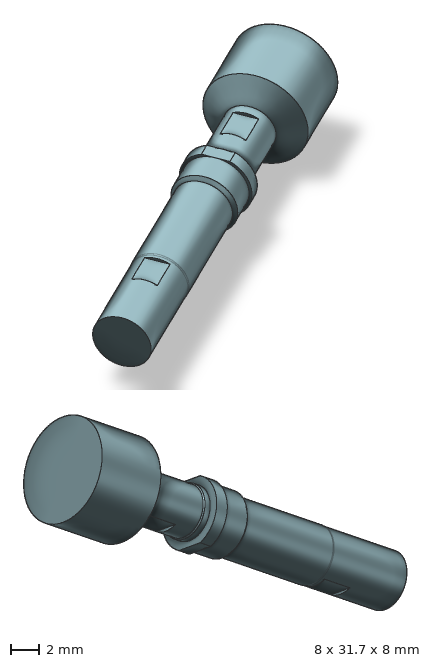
import cadquery as cq

length = 31.7
head_back = length / 2
tip_end = -length / 2

head_radius = 4.0
neck_radius = 2.0
collar_radius = 2.1
flange_radius = 2.75
shoulder_radius = 2.55
shaft_radius = 2.25
tip_radius = 2.22

head_length = 5.77
cone_length = 1.1
neck_length = 4.98
collar_length = 0.6
collar_chamfer = collar_radius - neck_radius
flange_length = 1.05
shoulder_length = 2.47
shoulder_chamfer = shoulder_radius - shaft_radius

tip_taper_length = 0.13
tip_length = 7.15

flat_length = 2.47
neck_flat_height = 1.75
neck_flat_offset = 0.75
tip_flat_height = 2.0
tip_flat_offset = 0.3

head_front = head_back - head_length
neck_back = head_front - cone_length
collar_back = neck_back - neck_length
flange_back = collar_back - collar_length
shoulder_back = flange_back - flange_length
shoulder_front = shoulder_back - shoulder_length
tip_back = tip_end + tip_length


def turned_body():
    """Revolve the half profile (radius, Y) about the Y axis."""
    profile = [
        (0, head_back),
        (head_radius, head_back),
        (head_radius, head_front),
        (neck_radius, neck_back),
        (neck_radius, collar_back),
        (collar_radius, collar_back - collar_chamfer),
        (collar_radius, flange_back),
        (flange_radius, flange_back),
        (flange_radius, shoulder_back),
        (shoulder_radius, shoulder_back),
        (shoulder_radius, shoulder_front + shoulder_chamfer),
        (shaft_radius, shoulder_front),
        (shaft_radius, tip_back + tip_taper_length),
        (tip_radius, tip_back),
        (tip_radius, tip_end),
        (0, tip_end),
    ]
    return cq.Workplane("XY").polyline(profile).close().revolve(360, (0, 0, 0), (0, 1, 0))


def cut_flats(body, step_radius, flat_height, y_back, y_front):
    """Mill two flats, at +flat_height and -flat_height in Z, between y_back and y_front."""
    depth = step_radius - flat_height
    for side in (1, -1):
        middle = ((y_back + y_front) / 2, side * (flat_height + depth / 2))
        cutter = cq.Workplane("XY").box(2 * step_radius, y_back - y_front, depth)
        body = body.cut(cutter.translate((0, *middle)))
    return body


result = turned_body()

neck_flat_back = neck_back - neck_flat_offset
result = cut_flats(result, neck_radius, neck_flat_height, neck_flat_back, neck_flat_back - flat_length)

result = cut_flats(result, flange_radius, shoulder_radius, flange_back, shoulder_back)

tip_flat_back = tip_back - tip_flat_offset
result = cut_flats(result, tip_radius, tip_flat_height, tip_flat_back, tip_flat_back - flat_length)